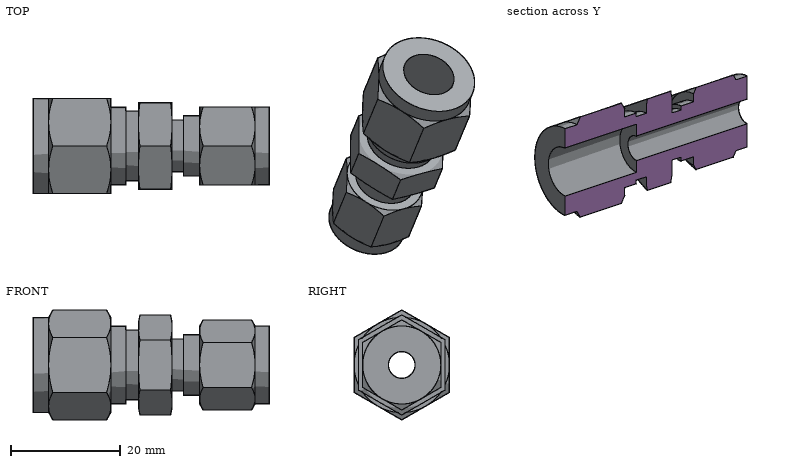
import cadquery as cq
import math


total_length = 43.2
large_nut_start = 2.8
large_nut_end = 14.2
large_shoulder_end = 16.93
body_hex_start = 19.25
body_hex_end = 25.4
small_neck_end = 27.45
small_nut_start = 30.45
small_nut_end = 40.6

HEX_SIDES = 6
large_nut_flats = 17.45
body_hex_flats = 15.9
small_nut_flats = 14.3

large_collar_diameter = large_nut_flats
large_shoulder_diameter = 14.25
large_neck_diameter = 12.82
small_neck_diameter = 9.55
small_shoulder_diameter = 11.1
small_collar_diameter = small_nut_flats

through_bore_diameter = 4.85
tube_socket_diameter = 9.55
tube_socket_depth = large_shoulder_end

nut_chamfer_angle = 30.0
body_chamfer_angle = 12.0


def cylinder(start, end, diameter):
    """Round section between two stations on X."""
    return cq.Workplane("YZ", origin=(start, 0, 0)).circle(diameter / 2).extrude(end - start)


def chamfered_hex(start, end, flats, chamfer_angle):
    """Hexagon with corners at +Z and -Z, turned down to a cone at both ends."""
    flat_radius = flats / 2
    corner_radius = flat_radius / math.cos(math.pi / HEX_SIDES)
    chamfer_length = (corner_radius - flat_radius) * math.tan(math.radians(chamfer_angle))
    prism = (
        cq.Workplane("YZ", origin=(start, 0, 0))
        .transformed(rotate=(0, 0, 90))
        .polygon(HEX_SIDES, 2 * corner_radius)
        .extrude(end - start)
    )
    turned_envelope = (
        cq.Workplane("XZ")
        .moveTo(start, 0)
        .lineTo(start, flat_radius)
        .lineTo(start + chamfer_length, corner_radius)
        .lineTo(end - chamfer_length, corner_radius)
        .lineTo(end, flat_radius)
        .lineTo(end, 0)
        .close()
        .revolve(360, (0, 0, 0), (1, 0, 0))
    )
    return prism.intersect(turned_envelope)


sections = [
    cylinder(0, large_nut_start, large_collar_diameter),
    chamfered_hex(large_nut_start, large_nut_end, large_nut_flats, nut_chamfer_angle),
    cylinder(large_nut_end, large_shoulder_end, large_shoulder_diameter),
    cylinder(large_shoulder_end, body_hex_start, large_neck_diameter),
    chamfered_hex(body_hex_start, body_hex_end, body_hex_flats, body_chamfer_angle),
    cylinder(body_hex_end, small_neck_end, small_neck_diameter),
    cylinder(small_neck_end, small_nut_start, small_shoulder_diameter),
    chamfered_hex(small_nut_start, small_nut_end, small_nut_flats, nut_chamfer_angle),
    cylinder(small_nut_end, total_length, small_collar_diameter),
]
body = sections[0]
for section in sections[1:]:
    body = body.union(section)

through_bore = cylinder(0, total_length, through_bore_diameter)
tube_socket = cylinder(0, tube_socket_depth, tube_socket_diameter)

result = body.cut(through_bore).cut(tube_socket)